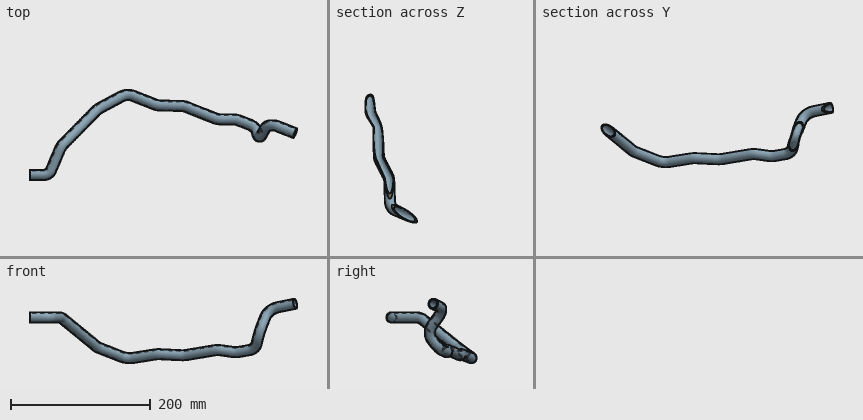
import cadquery as cq
import math

outer_diameter = 15.0
bore_diameter = 12.0

main_bend_radius = 19.0

inlet_end = (0, 0, 0)
outlet_end = (379.5, 59.7, 19.5)
bends = [
    ((27.5, 0, 0), 11.5),
    ((44.8, 41.0, 0), main_bend_radius),
    ((97.2, 94.0, -43.0), 15.3),
    ((139.3, 116.7, -59.5), main_bend_radius),
    ((182.5, 99.5, -52.5), main_bend_radius),
    ((220.8, 98.7, -54.5), main_bend_radius),
    ((268.5, 79.5, -46.3), main_bend_radius),
    ((295.0, 79.5, -50.0), main_bend_radius),
    ((323.0, 69.0, -45.0), 17.5),
    ((328.0, 50.0, -22.5), main_bend_radius),
    ((341.5, 75.0, 12.0), main_bend_radius),
]


def bend_points(before, corner, after, radius):
    """Return the start, middle and end of the arc that rounds one corner."""
    to_before = (before - corner).normalized()
    to_after = (after - corner).normalized()
    half_angle = to_before.getAngle(to_after) / 2
    tangent_length = radius / math.tan(half_angle)
    middle_distance = radius / math.sin(half_angle) - radius
    bisector = (to_before + to_after).normalized()
    start = corner + to_before * tangent_length
    middle = corner + bisector * middle_distance
    end = corner + to_after * tangent_length
    return start, middle, end


def centreline():
    """Join the straight legs and tangent arcs into one wire."""
    corners = [cq.Vector(*corner) for corner, _ in bends]
    nodes = [cq.Vector(*inlet_end), *corners, cq.Vector(*outlet_end)]
    edges = []
    leg_start = nodes[0]
    for index, (_, radius) in enumerate(bends):
        before, corner, after = nodes[index:index + 3]
        start, middle, end = bend_points(before, corner, after, radius)
        edges.append(cq.Edge.makeLine(leg_start, start))
        edges.append(cq.Edge.makeThreePointArc(start, middle, end))
        leg_start = end
    edges.append(cq.Edge.makeLine(leg_start, nodes[-1]))
    return cq.Wire.assembleEdges(edges)


def swept_rod(path, diameter):
    """Sweep a round section along the path, square to the inlet leg."""
    inlet_direction = cq.Vector(*bends[0][0]) - cq.Vector(*inlet_end)
    inlet_plane = cq.Plane(origin=inlet_end, normal=inlet_direction)
    return cq.Workplane(inlet_plane).circle(diameter / 2).sweep(path)


path = centreline()
result = swept_rod(path, outer_diameter).cut(swept_rod(path, bore_diameter))